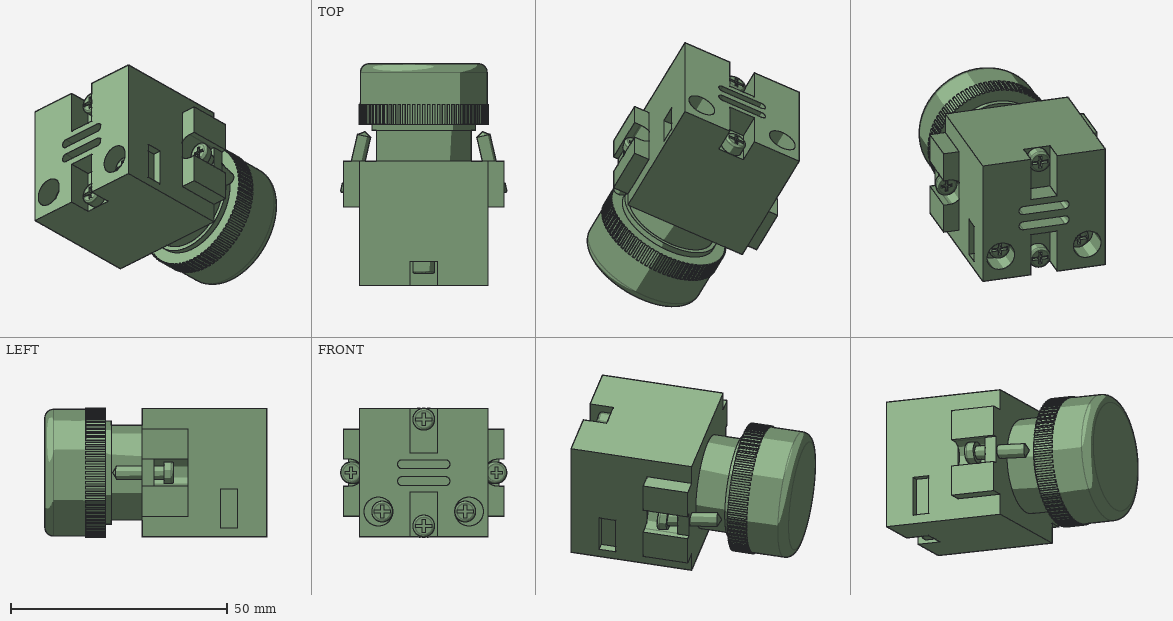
import cadquery as cq
import math


block_size = 29.75
block_depth = 28.85
half_block = block_size / 2

overall_depth = 51.4
neck_diameter = 22.0
flange_start = 36.0
flange_diameter = 24.0
cap_start = 37.3
cap_diameter = 29.4
cap_fillet = 2.05

ring_diameter = 29.95
ring_width = 4.65
tooth_count = 80
tooth_width = 0.6
tooth_length = 0.75

ear_span = 37.25
ear_height = 20.2
ear_front = 18.2
ear_slot_width = 6.25
ear_slot_center = 17.15
ear_plate_front = 26.1
ear_plate_span = 34.85

head_radius = 2.5
bore_head_radius = 2.4
head_fillet = 0.5

clamp_lean = 13.0
clamp_exit_x = 15.15
clamp_diameter = 3.2
clamp_head_front = 21.55
clamp_head_height = 2.2
clamp_tip_y = 35.65
clamp_cone_length = 1.05
clamp_recess_length = 2.65
clamp_recess_width = 0.6
clamp_recess_depth = 0.6

terminal_head_height = 2.7
terminal_recess_length = 3.75
terminal_recess_height = 2.95
terminal_recess_width = 0.7
terminal_recess_depth = 1.05
notch_width = 6.35
notch_floor_z = 4.5
notch_depth = 5.55
notch_screw_z = 12.35
bore_diameter = 6.7
bore_depth = 6.25
bore_x = 10.5
bore_z = -9.0
bore_screw_x = 9.6

vent_length = 12.15
vent_height = 2.05
vent_z = 1.95
vent_depth = 5.65
window_front = 6.75
window_back = 10.7
window_top = -3.8
window_bottom = -12.8
window_depth = 2.0


def box(x_range, y_range, z_range):
    """Box spanning the given ranges along X, Y and Z."""
    spans = [high - low for low, high in (x_range, y_range, z_range)]
    corner = (x_range[0], y_range[0], z_range[0])
    return cq.Workplane("XY").box(*spans, centered=False).translate(corner)


def centered(size):
    """Range of the given size about zero."""
    return (-size / 2, size / 2)


def facing_back(x, y, z):
    """Workplane at a point, with its normal along +Y."""
    return cq.Workplane(cq.Plane(origin=(x, y, z), xDir=(1, 0, 0), normal=(0, 1, 0)))


def button_head():
    """Neck, flange and rounded cap."""
    neck = facing_back(0, block_depth, 0).circle(neck_diameter / 2).extrude(flange_start - block_depth)
    flange = facing_back(0, flange_start, 0).circle(flange_diameter / 2).extrude(cap_start - flange_start)
    cap = facing_back(0, cap_start, 0).circle(cap_diameter / 2).extrude(overall_depth - cap_start)
    cap = cap.faces(">Y").edges().fillet(cap_fillet)
    return neck.union(flange).union(cap)


def knurl_teeth():
    """Ridges around the cap, trimmed to the outer diameter of the ring."""
    spokes = (
        facing_back(0, cap_start, 0)
        .polarArray(ring_diameter / 2, 90, 360, tooth_count)
        .rect(2 * tooth_length, tooth_width)
        .extrude(ring_width)
    )
    envelope = facing_back(0, cap_start, 0).circle(ring_diameter / 2).extrude(ring_width)
    return spokes.intersect(envelope)


def side_ears():
    """Bar across the block, slotted at both ends down to the plates that hold the clamp screws."""
    ears = box(centered(ear_span), (ear_front, block_depth), centered(ear_height))
    for side in (-1, 1):
        slot_x = sorted((side * ear_plate_span / 2, side * ear_span / 2))
        ears = ears.cut(box(slot_x, (ear_front, block_depth), centered(ear_slot_width)))
    return ears


def ear_groove(side):
    """Round-bottomed groove for one clamp screw head, reaching into the block side."""
    length = ear_plate_front - ear_front
    bottom = facing_back(side * ear_slot_center, ear_front, 0).circle(ear_slot_width / 2).extrude(length)
    mouth_x = sorted((side * ear_slot_center, side * ear_span / 2))
    mouth = box(mouth_x, (ear_front, ear_plate_front), centered(ear_slot_width))
    return bottom.union(mouth)


def cross_recess(x, y, z, length, height, width, depth):
    """Cross-shaped cut sinking into a screw head from its front face at y."""
    arms = facing_back(x, y, z).rect(length, width).extrude(depth)
    return arms.union(facing_back(x, y, z).rect(width, height).extrude(depth))


def terminal_screw(x, floor_y, z, radius):
    """Screw head standing on a floor that faces the front."""
    front_y = floor_y - terminal_head_height
    head = facing_back(x, front_y, z).circle(radius).extrude(terminal_head_height)
    head = head.faces("<Y").edges().fillet(head_fillet)
    recess = cross_recess(
        x, front_y, z,
        terminal_recess_length, terminal_recess_height, terminal_recess_width, terminal_recess_depth,
    )
    return head.cut(recess)


def clamp_axis_x(y):
    """Distance of the clamp screw axis from the button axis at depth y."""
    return clamp_exit_x - (y - block_depth) * math.tan(math.radians(clamp_lean))


def clamp_screw():
    """Leaning pointed shaft on the +X side; its head has faces square to Y and a slanted wall."""
    head_back = clamp_head_front + clamp_head_height
    front_x = clamp_axis_x(clamp_head_front)
    head = (
        facing_back(front_x, clamp_head_front, 0)
        .circle(head_radius)
        .workplane(offset=clamp_head_height)
        .center(clamp_axis_x(head_back) - front_x, 0)
        .circle(head_radius)
        .loft(ruled=True)
    )
    head = head.faces("<Y").edges().fillet(head_fillet)
    recess = cross_recess(
        front_x, clamp_head_front, 0,
        clamp_recess_length, clamp_recess_length, clamp_recess_width, clamp_recess_depth,
    )
    head = head.cut(recess)

    lean = math.radians(clamp_lean)
    shaft_start_y = clamp_head_front + clamp_head_height / 2
    shaft_length = (clamp_tip_y - shaft_start_y) / math.cos(lean)
    radius = clamp_diameter / 2
    shaft_plane = cq.Plane(
        origin=(clamp_axis_x(shaft_start_y), shaft_start_y, 0),
        xDir=(math.cos(lean), math.sin(lean), 0),
        normal=(0, 0, 1),
    )
    shaft = (
        cq.Workplane(shaft_plane)
        .polyline([
            (0, 0),
            (radius, 0),
            (radius, shaft_length - clamp_cone_length),
            (0, shaft_length),
        ])
        .close()
        .revolve(360, (0, 0), (0, 1))
    )
    return head.union(shaft)


body = box(centered(block_size), (0, block_depth), centered(block_size))
body = body.union(side_ears())

for sign in (-1, 1):
    notch_z = sorted((sign * notch_floor_z, sign * half_block))
    body = body.cut(box(centered(notch_width), (0, notch_depth), notch_z))
    body = body.cut(facing_back(0, 0, sign * vent_z).slot2D(vent_length, vent_height).extrude(vent_depth))
    body = body.cut(facing_back(sign * bore_x, 0, bore_z).circle(bore_diameter / 2).extrude(bore_depth))
    window_x = sorted((sign * half_block, sign * (half_block - window_depth)))
    body = body.cut(box(window_x, (window_front, window_back), (window_bottom, window_top)))
    body = body.cut(ear_groove(sign))

right_clamp = clamp_screw()
body = body.union(right_clamp).union(right_clamp.mirror("YZ"))
for sign in (-1, 1):
    body = body.union(terminal_screw(0, notch_depth, sign * notch_screw_z, head_radius))
    body = body.union(terminal_screw(sign * bore_screw_x, bore_depth, bore_z, bore_head_radius))

result = body.union(button_head()).union(knurl_teeth())